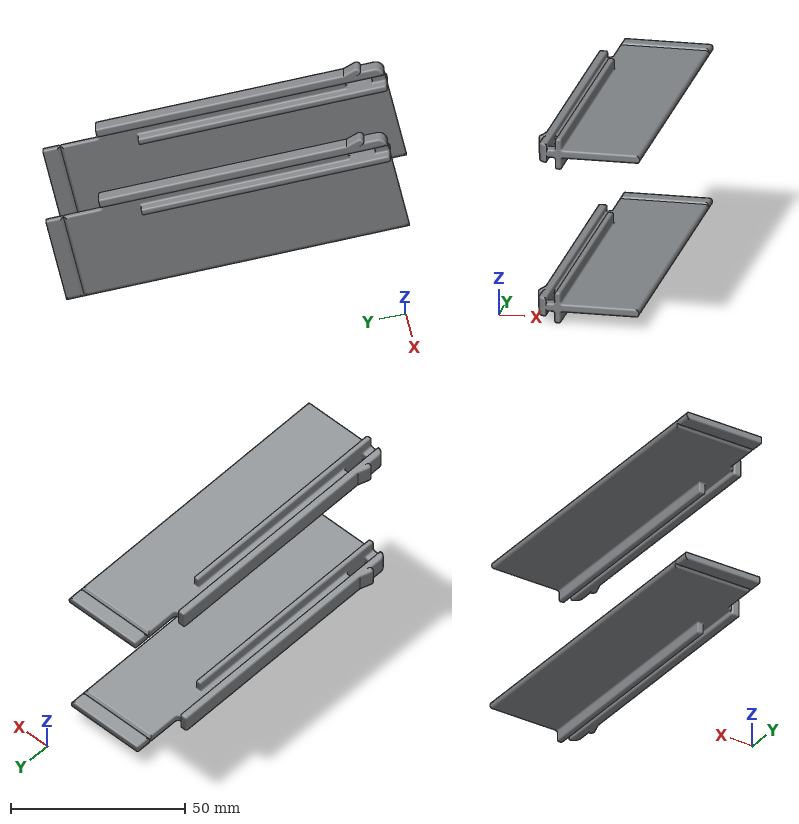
import cadquery as cq
import math

overall_width = 31.0
overall_length = 102.0
overall_height = 55.5
slide_length = 101.1
slide_count = 2

plate_thickness = 2.3
plate_right = overall_width
narrow_left = 5.1
outer_edge_radius = 1.1
edge_radius = 0.5
near_edge_radius = 0.6
corner_radius = 1.2

groove_from_end = 5.2
groove_width = 1.6
groove_depth = 0.8
groove_rim_radius = 0.5

rib_height = 9.2
rib_left = 6.2
rib_width = 1.8
rib_length = 73.2
rib_edge_radius = 0.6
rib_root_radius = 0.6
rib_corner_radius = 0.3

bar_left = 1.2
bar_right = 3.8
bar_height = 5.6
bar_length = 84.7
bar_edge_radius = 0.6
bar_root_radius = 0.2
hook_bottom = 6.3
hook_ramp_end = 11.4

slot_start = 4.0
slot_length = 7.8
slot_corner_radius = 0.6
slot_rim_radius = 0.6

half_thickness = plate_thickness / 2
rib_right = rib_left + rib_width
shoulder = bar_length - bar_edge_radius
slot_end = slot_start + slot_length
slide_rise = overall_height - rib_height
slide_shift = overall_length - slide_length
reach = 0.1


def block(x0, x1, y0, y1, height):
    """Box between the given X and Y limits, centred on the plate's mid-plane."""
    corner_box = cq.Workplane("XY").box(x1 - x0, y1 - y0, height, centered=(False, False, True))
    return corner_box.translate((x0, y0, 0))


def edges_within(x0, x1, y0, y1, z):
    """Selector for the edges centred in an XY rectangle at height z."""
    return cq.selectors.BoxSelector(
        (x0 - reach, y0 - reach, z - reach),
        (x1 + reach, y1 + reach, z + reach),
    )


def on_both_faces(x0, x1, y0, y1):
    """Selector for the edges in an XY rectangle on the plate's upper and lower faces."""
    upper = edges_within(x0, x1, y0, y1, half_thickness)
    lower = edges_within(x0, x1, y0, y1, -half_thickness)
    return upper + lower


def make_plate():
    """Flat plate that narrows beyond the latch bar, rounded along the narrow part."""
    plate = (
        cq.Workplane("XY", origin=(0, 0, -half_thickness))
        .moveTo(bar_right, 0)
        .lineTo(plate_right, 0)
        .lineTo(plate_right, slide_length)
        .lineTo(narrow_left, slide_length)
        .lineTo(narrow_left, shoulder + corner_radius)
        .radiusArc((narrow_left - corner_radius, shoulder), corner_radius)
        .lineTo(bar_right, shoulder)
        .close()
        .extrude(plate_thickness)
    )
    left_edges = on_both_faces(bar_right, narrow_left, shoulder, slide_length)
    plate = plate.edges(left_edges).edges("|Y").fillet(edge_radius)
    return plate.faces(">Y").edges("|X").fillet(edge_radius)


def make_ribs():
    """Guide rib crossing the plate, rounded along the top, bottom and far end."""
    rib = block(rib_left, rib_right, 0, rib_length, rib_height)
    rib = rib.faces(">Y").edges("|Z").fillet(rib_corner_radius)
    return rib.faces(">Z or <Z").edges("not <Y").fillet(rib_edge_radius)


def round_near_end(body):
    """Round the near end of plate and ribs, leaving the plate's two upright end edges."""
    left_end = edges_within(bar_right, bar_right, 0, 0, 0)
    right_end = edges_within(plate_right, plate_right, 0, 0, 0)
    outline = cq.selectors.StringSyntaxSelector("<Y") - left_end - right_end
    return body.faces("<Y").edges(outline).fillet(near_edge_radius)


def outer_edge_cutter():
    """What the rounding of the long right edge removes from the square plate."""
    square = block(rib_right, plate_right, 0, slide_length, plate_thickness)
    rounded = square.faces(">X").edges("|Y").fillet(outer_edge_radius)
    return square.cut(rounded)


def groove_cutter():
    """V-shaped groove with rounded rims, cutting into the plate's upper face."""
    slope = math.atan(2 * groove_depth / groove_width)
    tangent_length = groove_rim_radius * math.tan(slope / 2)
    rim_outer = groove_width / 2 + tangent_length
    rim_inner = groove_width / 2 - tangent_length * math.cos(slope)
    rim_bottom = half_thickness - tangent_length * math.sin(slope)
    return (
        cq.Workplane("YZ", origin=(0, slide_length - groove_from_end, 0))
        .moveTo(-rim_outer, half_thickness)
        .radiusArc((-rim_inner, rim_bottom), groove_rim_radius)
        .lineTo(0, half_thickness - groove_depth)
        .lineTo(rim_inner, rim_bottom)
        .radiusArc((rim_outer, half_thickness), groove_rim_radius)
        .close()
        .extrude(overall_width)
    )


def cut_slot(body):
    """Through slot between bar and rib, with rounded corners and rounded end rims."""
    slot = block(bar_right, rib_left, slot_start, slot_end, bar_height)
    body = body.cut(slot.edges("|Z").fillet(slot_corner_radius))
    rim = on_both_faces(bar_right, rib_left, slot_start, slot_end)
    return body.edges(rim).edges("|X").fillet(slot_rim_radius)


def make_bar():
    """Latch bar with a rounded near end and a hook on its outer side."""
    end_radius = bar_right - bar_left
    nose_radius = bar_left
    nose_centre = hook_bottom + nose_radius
    ramp_lean = math.asin(nose_radius / (hook_ramp_end - nose_centre))
    ramp_foot = (
        bar_left - nose_radius * math.cos(ramp_lean),
        nose_centre + nose_radius * math.sin(ramp_lean),
    )
    bar = (
        cq.Workplane("XY", origin=(0, 0, -bar_height / 2))
        .moveTo(bar_right, 0)
        .lineTo(bar_right, bar_length)
        .lineTo(bar_left, bar_length)
        .lineTo(bar_left, hook_ramp_end)
        .lineTo(*ramp_foot)
        .radiusArc((bar_left, hook_bottom), -nose_radius)
        .lineTo(bar_left, end_radius)
        .radiusArc((bar_right, 0), -end_radius)
        .close()
        .extrude(bar_height)
    )
    bar = bar.faces(">Y").edges("|Z").fillet(bar_edge_radius)
    return bar.faces(">Z or <Z").edges().fillet(bar_edge_radius)


def bar_root(y0, y1):
    """Concave root between the bar and the plate's upper face, from y0 to y1."""
    return (
        cq.Workplane("XZ", origin=(bar_right, y0, half_thickness))
        .lineTo(bar_root_radius, 0)
        .radiusArc((0, bar_root_radius), bar_root_radius)
        .close()
        .extrude(y0 - y1)
    )


def make_slide():
    """One slide: plate, ribs and latch bar in one piece."""
    slide = make_plate().union(make_ribs())
    slide = slide.edges(on_both_faces(rib_left, rib_right, 0, rib_length)).fillet(rib_root_radius)
    slide = round_near_end(slide)
    slide = slide.cut(outer_edge_cutter())
    groove = groove_cutter()
    slide = slide.cut(groove).cut(groove.mirror("XY"))
    slide = cut_slot(slide)
    slide = slide.union(make_bar())
    near_root = bar_root(near_edge_radius, slot_start - slot_rim_radius)
    far_root = bar_root(slot_end + slot_rim_radius, shoulder - edge_radius)
    for root in (near_root, far_root):
        slide = slide.union(root).union(root.mirror("XY"))
    return slide


slide = make_slide()
slides = [slide.translate((0, i * slide_shift, i * slide_rise)) for i in range(slide_count)]

result = cq.Compound.makeCompound([placed.val() for placed in slides])